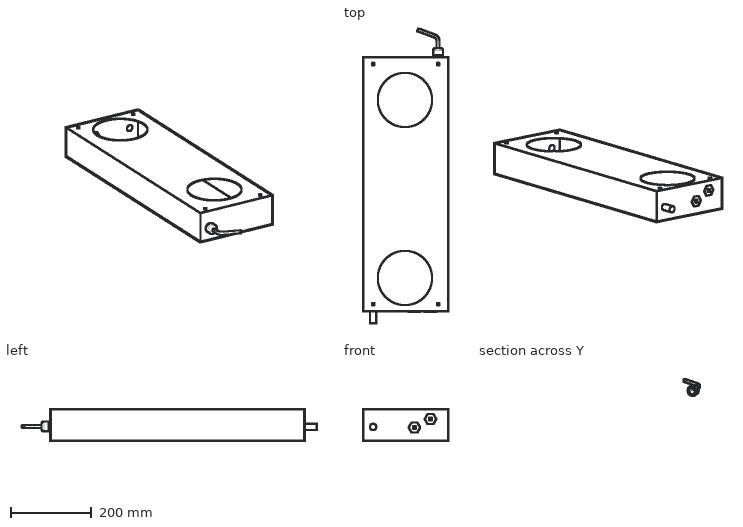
import cadquery as cq
import math

box_width = 212.0
box_length = 632.0
box_height = 80.0
wall = 1.5
front_y = -box_length / 2
back_y = box_length / 2

port_diameter = 135.0
port_spacing = 442.0
port_centre_x = -2.0
port_centre_y = -12.0
screw_hole_diameter = 7.0
screw_spacing_x = 161.0
screw_spacing_y = 596.0

stub_diameter = 16.0
stub_length = 30.0
stub_x = -81.0
stub_z = -5.0

hex_across_flats = 25.0
hex_height = 1.0
hex_hole_diameter = 8.0
hex_centres = [(21.5, -6.5), (61.5, 14.5)]

gland_x = 80.3
gland_z = -3.8
neck_diameter = 17.0
neck_length = 4.0
gland_diameter = 25.0
gland_length = 18.0
gland_rim_radius = 6.5

cable_diameter = 8.0
cable_reach = 70.88
cable_bend_radius = 14.0
cable_bend_angle = 70.0
cable_tail_length = 44.0


def end_plane(x, y, z):
    """Sketch plane at (x, y, z) facing +Y."""
    return cq.Workplane(cq.Plane(origin=(x, y, z), xDir=(-1, 0, 0), normal=(0, 1, 0)))


def end_cylinder(x, y, z, diameter, length):
    """Cylinder along Y, starting at y and running towards +Y."""
    return end_plane(x, y, z).circle(diameter / 2).extrude(length)


def make_housing():
    outer = cq.Workplane("XY").box(box_width, box_length, box_height)
    cavity = cq.Workplane("XY").box(box_width - 2 * wall, box_length - 2 * wall, box_height - 2 * wall)
    ports = (
        cq.Workplane("XY")
        .center(port_centre_x, port_centre_y)
        .rarray(1, port_spacing, 1, 2)
        .circle(port_diameter / 2)
        .extrude(box_height)
    )
    screw_holes = (
        cq.Workplane("XY")
        .rarray(screw_spacing_x, screw_spacing_y, 2, 2)
        .circle(screw_hole_diameter / 2)
        .extrude(box_height)
    )
    return outer.cut(cavity).cut(ports).cut(screw_holes)


def make_stub():
    return end_cylinder(stub_x, front_y - stub_length, stub_z, stub_diameter, stub_length)


def add_hex_boss(body, x, z):
    corner_diameter = hex_across_flats / math.cos(math.pi / 6)
    boss_y = front_y - hex_height
    boss = end_plane(x, boss_y, z).polygon(6, corner_diameter).extrude(hex_height)
    hole = end_cylinder(x, boss_y, z, hex_hole_diameter, hex_height)
    return body.union(boss).cut(hole)


def make_gland():
    neck = end_cylinder(gland_x, back_y, gland_z, neck_diameter, neck_length)
    body = end_cylinder(gland_x, back_y + neck_length, gland_z, gland_diameter, gland_length)
    return neck.union(body.faces(">Y").edges().fillet(gland_rim_radius))


def make_cable():
    angle = math.radians(cable_bend_angle)
    radius = cable_bend_radius

    bend_rise = radius * math.sin(angle)
    tail_rise = cable_tail_length * math.cos(angle)
    tip_rise = cable_diameter / 2 * math.sin(angle)
    bend_start_y = back_y + cable_reach - bend_rise - tail_rise - tip_rise

    def bend_point(turn):
        return gland_x - radius * (1 - math.cos(turn)), bend_start_y + radius * math.sin(turn)

    start_y = back_y + neck_length + gland_length
    end_x, end_y = bend_point(angle)
    tip = (end_x - cable_tail_length * math.sin(angle), end_y + tail_rise)
    path = (
        cq.Workplane("XY", origin=(0, 0, gland_z))
        .moveTo(gland_x, start_y)
        .lineTo(gland_x, bend_start_y)
        .threePointArc(bend_point(angle / 2), (end_x, end_y))
        .lineTo(*tip)
    )
    return end_plane(gland_x, start_y, gland_z).circle(cable_diameter / 2).sweep(path)


result = make_housing().union(make_stub()).union(make_gland()).union(make_cable())
for hex_x, hex_z in hex_centres:
    result = add_hex_boss(result, hex_x, hex_z)